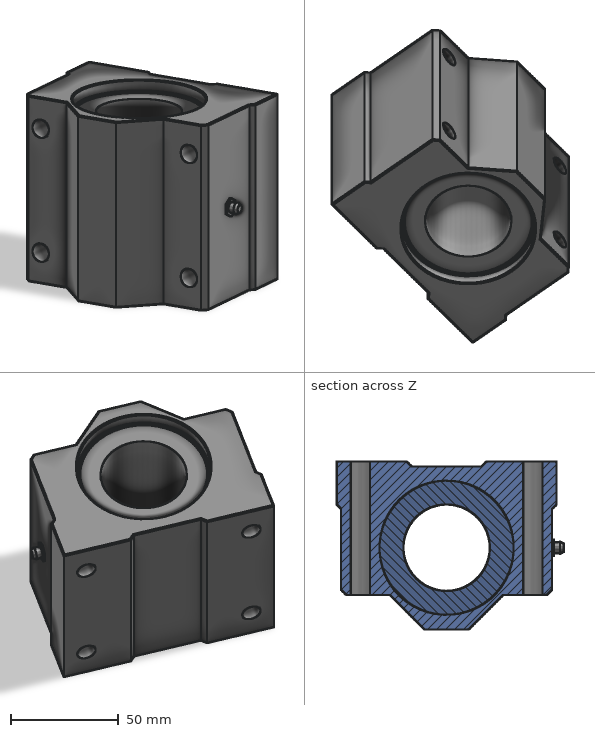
import cadquery as cq
import math

length = 90.0
base_width = 102.0
waist_width = 98.0
base_y = 40.0
nose_y = -38.0
shoulder_y = -22.0
nose_width = 20.4
flank_step_y = 20.0
shoulder_chamfer = 2.5
relief_floor_width = 32.4
relief_depth = 2.3
end_chamfer = 0.5

bearing_bore = 40.0
bearing_diameter = 62.0
bearing_length = 80.0
bearing_chamfer = 0.75
end_recess_diameter = 59.0
end_recess_depth = 1.0
seat_chamfer = 0.5

mount_diameter = 8.8
mount_pitch_x = 80.0
mount_pitch_z = 60.0

hex_across_flats = 7.8
hex_thickness = 0.8
stem_root_radius = 2.5
stem_rim_radius = 2.8
stem_rim_height = 3.7
stem_tip_radius = 1.9
nipple_height = 5.38


def mirrored_outline(right_half):
    """Close a right-hand half outline with its mirror image across the YZ plane."""
    left_half = [(-x, y) for x, y in reversed(right_half)]
    return cq.Workplane("XY").polyline(right_half + left_half).close()


def make_housing():
    half_base = base_width / 2
    half_waist = waist_width / 2
    half_nose = nose_width / 2
    half_relief = relief_floor_width / 2
    flank_step = half_base - half_waist
    right_half = [
        (half_nose, nose_y),
        (half_nose + shoulder_y - nose_y, shoulder_y),
        (half_waist - shoulder_chamfer, shoulder_y),
        (half_waist, shoulder_y + shoulder_chamfer),
        (half_waist, flank_step_y - flank_step),
        (half_base, flank_step_y),
        (half_base, base_y),
        (half_relief + relief_depth, base_y),
        (half_relief, base_y - relief_depth),
    ]
    body = mirrored_outline(right_half).extrude(length / 2, both=True)
    body = body.faces("<Z or >Z").chamfer(end_chamfer)
    body = body.cut(make_bearing_seat())
    return body.cut(make_mount_holes())


def make_bearing_seat():
    """Through bore for the bearing, chamfered at both mouths."""
    half_length = length / 2
    seat_radius = bearing_diameter / 2
    mouth_radius = seat_radius + seat_chamfer
    chamfer_start = half_length - seat_chamfer
    return (
        cq.Workplane("XZ")
        .moveTo(0, -half_length)
        .lineTo(mouth_radius, -half_length)
        .lineTo(seat_radius, -chamfer_start)
        .lineTo(seat_radius, chamfer_start)
        .lineTo(mouth_radius, half_length)
        .lineTo(0, half_length)
        .close()
        .revolve(360, (0, 0, 0), (0, 1, 0))
    )


def make_mount_holes():
    return (
        cq.Workplane("XZ", origin=(0, base_y, 0))
        .rarray(mount_pitch_x, mount_pitch_z, 2, 2)
        .circle(mount_diameter / 2)
        .extrude(base_y - nose_y)
    )


def centred_cylinder(diameter, height):
    return cq.Workplane("XY").circle(diameter / 2).extrude(height / 2, both=True)


def make_bearing():
    """Sleeve with a raised, chamfered rim around a shallow recess at each end."""
    sleeve = centred_cylinder(bearing_diameter, bearing_length)
    sleeve = sleeve.faces("<Z or >Z").chamfer(bearing_chamfer)
    sleeve = sleeve.cut(centred_cylinder(bearing_bore, bearing_length))
    recess_floor = bearing_length / 2 - end_recess_depth
    end_recess = (
        cq.Workplane("XY", origin=(0, 0, recess_floor))
        .circle(end_recess_diameter / 2)
        .extrude(end_recess_depth)
    )
    return sleeve.cut(end_recess).cut(end_recess.mirror("XY"))


def make_grease_nipple():
    """Hexagon with corners toward +Z and -Z, carrying a stem with a tapered head."""
    flank_x = waist_width / 2
    across_corners = hex_across_flats / math.cos(math.pi / 6)
    hexagon = (
        cq.Workplane("YZ", origin=(flank_x, 0, 0))
        .transformed(rotate=(0, 0, 90))
        .polygon(6, across_corners)
        .extrude(hex_thickness)
    )
    stem = (
        cq.Workplane("XZ", origin=(flank_x, 0, 0))
        .moveTo(0, 0)
        .lineTo(0, stem_root_radius)
        .lineTo(hex_thickness, stem_root_radius)
        .lineTo(stem_rim_height, stem_rim_radius)
        .lineTo(nipple_height, stem_tip_radius)
        .lineTo(nipple_height, 0)
        .close()
        .revolve(360, (0, 0, 0), (1, 0, 0))
    )
    return hexagon.union(stem)


housing = make_housing()
bearing = make_bearing()
grease_nipple = make_grease_nipple()

result = cq.Compound.makeCompound([housing.val(), bearing.val(), grease_nipple.val()])